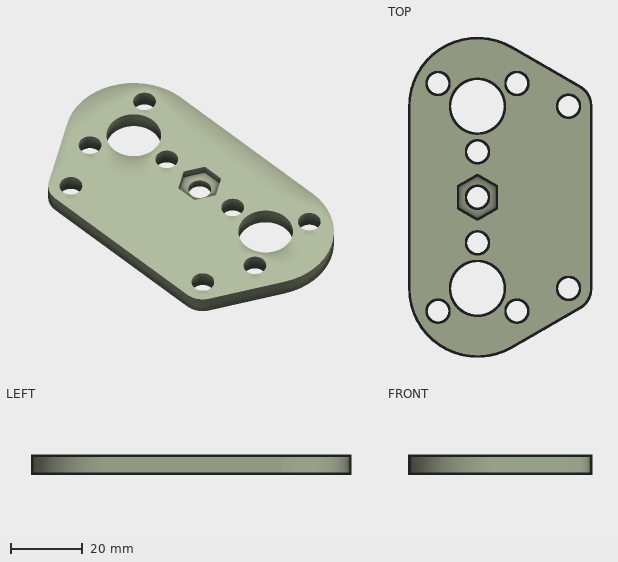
import cadquery as cq
import math

inch = 25.4
thickness = 0.2 * inch
end_spacing = 2.0 * inch
end_radius = 0.75 * inch
corner_offset = 1.0 * inch
corner_radius = 0.25 * inch

bore_diameter = 0.6 * inch
bolt_diameter = 0.25 * inch
bolt_circle_radius = 0.5 * inch
outer_bolt_angle = 30

nut_across_flats = 10.8
nut_pocket_depth = 0.1 * inch

end_y = end_spacing / 2


def point_on_circle(center, radius, angle):
    """Point at an angle in degrees, counterclockwise from +X."""
    turn = math.radians(angle)
    return (center[0] + radius * math.cos(turn), center[1] + radius * math.sin(turn))


def mirrored(point):
    """The same point on the other side of the X axis."""
    return (point[0], -point[1])


def make_plate():
    """Two large ends and two small corners, joined by their tangent lines."""
    end = (0, end_y)
    corner = (corner_offset, end_y)
    slope_normal = math.degrees(math.acos((end_radius - corner_radius) / corner_offset))

    side_start = point_on_circle(corner, corner_radius, 0)
    corner_middle = point_on_circle(corner, corner_radius, slope_normal / 2)
    slope_start = point_on_circle(corner, corner_radius, slope_normal)
    slope_end = point_on_circle(end, end_radius, slope_normal)
    end_middle = point_on_circle(end, end_radius, (slope_normal + 180) / 2)
    back_start = point_on_circle(end, end_radius, 180)

    return (
        cq.Workplane("XY")
        .moveTo(*side_start)
        .threePointArc(corner_middle, slope_start)
        .lineTo(*slope_end)
        .threePointArc(end_middle, back_start)
        .lineTo(*mirrored(back_start))
        .threePointArc(mirrored(end_middle), mirrored(slope_end))
        .lineTo(*mirrored(slope_start))
        .threePointArc(mirrored(corner_middle), mirrored(side_start))
        .close()
        .extrude(thickness)
    )


def through_holes(points, diameter):
    """Cylinders that cut through the full thickness."""
    return cq.Workplane("XY").pushPoints(points).circle(diameter / 2).extrude(thickness)


def bolt_points():
    """Centre hole, then three holes around each bore and one in each small corner."""
    points = [(0, 0)]
    end = (0, end_y)
    for angle in (outer_bolt_angle, 180 - outer_bolt_angle, 270):
        point = point_on_circle(end, bolt_circle_radius, angle)
        points += [point, mirrored(point)]
    points += [(corner_offset, end_y), (corner_offset, -end_y)]
    return points


def nut_pocket():
    """Hexagonal recess in the top face, with two points on the Y axis."""
    across_corners = nut_across_flats / math.cos(math.pi / 6)
    return (
        cq.Workplane("XY")
        .workplane(offset=thickness - nut_pocket_depth)
        .transformed(rotate=(0, 0, 90))
        .polygon(6, across_corners)
        .extrude(nut_pocket_depth)
    )


result = (
    make_plate()
    .cut(through_holes([(0, end_y), (0, -end_y)], bore_diameter))
    .cut(through_holes(bolt_points(), bolt_diameter))
    .cut(nut_pocket())
)